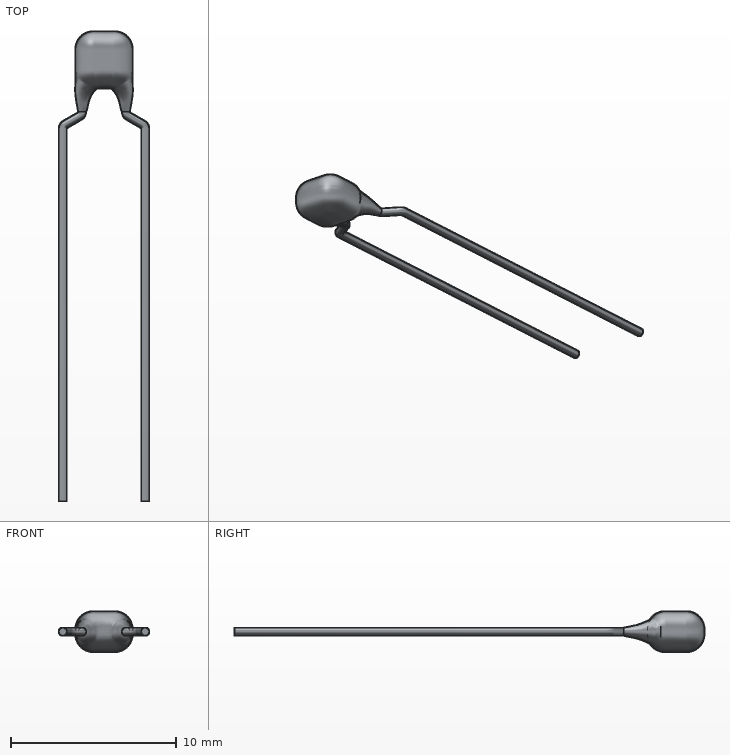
import cadquery as cq
import math


body_width = 3.5
body_length = 3.48
body_height = 2.5
edge_radius = 1.13
front_hollow_depth = 0.3

lead_diameter = 0.5
lead_pitch = 5.0
lead_end_y = -28.5
bend_radius = 0.3
bend_angle = 60.0

neck_pitch = 2.66
neck_end_y = -4.9
seam_radius = 0.2
seam_back_y = -2.8
seam_front_y = -3.6

body_side_x = body_width / 2
lead_radius = lead_diameter / 2
neck_end_x = neck_pitch / 2
neck_circles = [
    (0.85, -2.65, 0.9),
    (0.98, -3.25, 0.77),
    (1.23, -3.8, 0.52),
    (1.30, -4.3, 0.38),
    (neck_end_x, neck_end_y, lead_radius),
]


def make_rounded_block():
    """Block with a slightly hollow front face and all edges rounded."""
    corner_y = -body_length - front_hollow_depth
    return (
        cq.Workplane("XY")
        .workplane(offset=-body_height / 2)
        .moveTo(-body_side_x, 0)
        .lineTo(-body_side_x, corner_y)
        .threePointArc((0, -body_length), (body_side_x, corner_y))
        .lineTo(body_side_x, 0)
        .close()
        .extrude(body_height)
        .edges()
        .fillet(edge_radius)
    )


def circle_across_y(x, y, radius):
    return cq.Wire.makeCircle(radius, cq.Vector(x, y, 0), cq.Vector(0, -1, 0))


def make_neck(side):
    """Tapered neck on the +X (side = 1) or -X (side = -1) half, ending flush with the lead."""
    sections = [circle_across_y(side * x, y, radius) for x, y, radius in neck_circles]
    return cq.Workplane(cq.Solid.makeLoft(sections))


def make_body():
    """Coated block and both necks as one solid, with the seams between them blended."""
    body = make_rounded_block()
    for side in (-1, 1):
        body = body.union(make_neck(side))
    seam_zone = cq.selectors.BoxSelector(
        (-body_width, seam_back_y, -body_height),
        (body_width, seam_front_y, body_height),
    )
    return body.edges("%BSPLINE").edges(seam_zone).fillet(seam_radius)


def make_lead(side):
    """Round wire that leaves the neck, bends outward, bends back and runs straight to its end."""
    lead_x = lead_pitch / 2
    turn = math.radians(bend_angle)
    bend_dx = bend_radius * (1 - math.cos(turn))
    bend_dy = bend_radius * math.sin(turn)
    slope_dx = lead_x - neck_end_x - 2 * bend_dx
    slope_dy = slope_dx / math.tan(turn)

    slope_start = (side * (neck_end_x + bend_dx), neck_end_y - bend_dy)
    slope_end = (side * (lead_x - bend_dx), slope_start[1] - slope_dy)
    straight_start = (side * lead_x, slope_end[1] - bend_dy)
    path = (
        cq.Workplane("XY")
        .moveTo(side * neck_end_x, neck_end_y)
        .radiusArc(slope_start, -side * bend_radius)
        .lineTo(*slope_end)
        .radiusArc(straight_start, side * bend_radius)
        .lineTo(side * lead_x, lead_end_y)
    )
    return (
        cq.Workplane("XZ", origin=(side * neck_end_x, neck_end_y, 0))
        .circle(lead_radius)
        .sweep(path)
    )


body = make_body()
leads = [make_lead(side) for side in (-1, 1)]

result = cq.Compound.makeCompound([body.val(), *[lead.val() for lead in leads]])